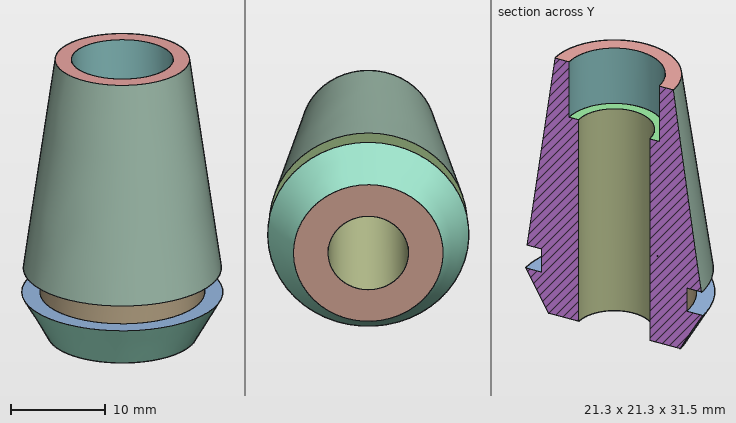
import cadquery as cq

total_height = 31.5
flange_height = 4.85
groove_height = 2.77
body_base = flange_height + groove_height

base_diameter = 15.8
flange_diameter = 21.3
groove_diameter = 17.45
body_base_diameter = 20.98
body_top_diameter = 14.25

through_diameter = 8.5
counterbore_diameter = 10.77
counterbore_depth = 6.77


def revolved_body():
    """Solid collet: flared flange, neck groove and tapered body."""
    outline = [
        (0, 0),
        (base_diameter / 2, 0),
        (flange_diameter / 2, flange_height),
        (groove_diameter / 2, flange_height),
        (groove_diameter / 2, body_base),
        (body_base_diameter / 2, body_base),
        (body_top_diameter / 2, total_height),
        (0, total_height),
    ]
    return cq.Workplane("XZ").polyline(outline).close().revolve(360, (0, 0, 0), (0, 1, 0))


result = (
    revolved_body()
    .faces(">Z")
    .workplane()
    .cboreHole(through_diameter, counterbore_diameter, counterbore_depth)
)